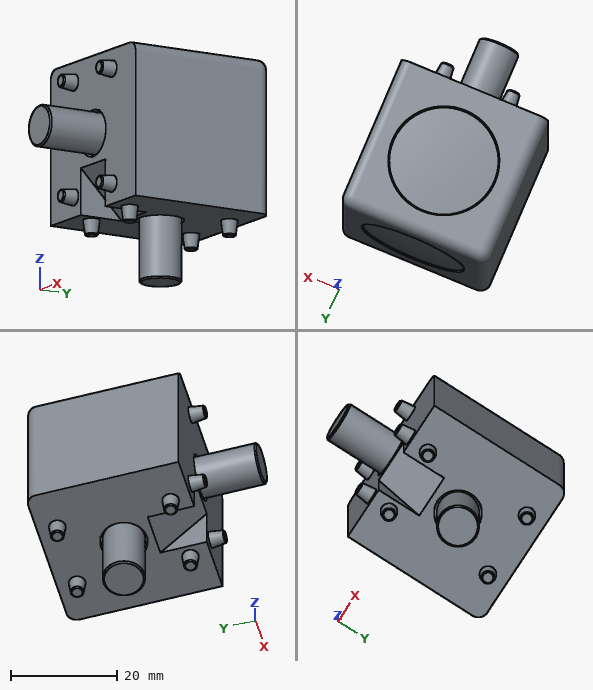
import cadquery as cq


cube_size = 30.0
half_cube = cube_size / 2
edge_radius = 2.0
notch_leg = 9.1
notch_width = 8.6

pin_spacing_across = 13.5
pin_spacing_along = 22.2
pin_base_radius = 1.6
pin_tip_radius = 1.25
pin_length = 3.0
pin_tip_chamfer = 0.25

shaft_radius = 4.0
shaft_reach = 12.0
shaft_tip_chamfer = 0.3
shoulder_radius = 4.5
shoulder_chamfer = shoulder_radius - shaft_radius
shoulder_recess = 1.0
shaft_bore_depth = 10.0

cap_radius = 10.25
cap_seat_depth = 2.0
cap_hole_chamfer = 0.25
dome_rim_depth = cap_hole_chamfer
dome_crown = 0.25

shaft_faces = [
    cq.Plane(origin=(0, -half_cube, 0), xDir=(1, 0, 0), normal=(0, -1, 0)),
    cq.Plane(origin=(0, 0, -half_cube), xDir=(1, 0, 0), normal=(0, 0, -1)),
]
cap_faces = [
    cq.Plane(origin=(0, half_cube, 0), xDir=(1, 0, 0), normal=(0, 1, 0)),
    cq.Plane(origin=(0, 0, half_cube), xDir=(1, 0, 0), normal=(0, 0, 1)),
]


def revolve_about_axis(profile):
    """Turn a half profile (x = radius, y = height) into a solid about the Z axis."""
    turned = profile.close().revolve(360, (0, 0, 0), (0, 1, 0))
    return turned.val()


def place_on(solid, face):
    """Move a solid built about the Z axis so that its Z runs out of the given face."""
    return solid.moved(cq.Location(face))


def make_pin():
    """Tapered locating pin with a chamfered tip, standing on height 0."""
    profile = (
        cq.Workplane("XZ")
        .lineTo(pin_base_radius, 0)
        .lineTo(pin_tip_radius, pin_length - pin_tip_chamfer)
        .lineTo(pin_tip_radius - pin_tip_chamfer, pin_length)
        .lineTo(0, pin_length)
    )
    return revolve_about_axis(profile)


def make_shaft():
    """Shaft whose chamfered shoulder ends just below the housing face at height 0."""
    profile = (
        cq.Workplane("XZ")
        .moveTo(0, -shaft_bore_depth)
        .lineTo(shoulder_radius, -shaft_bore_depth)
        .lineTo(shoulder_radius, -shoulder_recess - shoulder_chamfer)
        .lineTo(shaft_radius, -shoulder_recess)
        .lineTo(shaft_radius, shaft_reach - shaft_tip_chamfer)
        .lineTo(shaft_radius - shaft_tip_chamfer, shaft_reach)
        .lineTo(0, shaft_reach)
    )
    return revolve_about_axis(profile)


def make_cap():
    """Disc with a shallow spherical dome, its rim just below the face at height 0."""
    dome_rise = dome_crown + dome_rim_depth
    dome_radius = (cap_radius**2 + dome_rise**2) / (2 * dome_rise)
    dome_centre = cq.Vector(0, 0, dome_crown - dome_radius)
    disc_base = cq.Vector(0, 0, -cap_seat_depth)
    disc = cq.Solid.makeCylinder(cap_radius, cap_seat_depth + dome_crown, disc_base)
    pole_axis = cq.Vector(-1, 0, 0)
    ball = cq.Solid.makeSphere(dome_radius, dome_centre, pole_axis, angleDegrees1=-90, angleDegrees2=90)
    return disc.intersect(ball).Solids()[0]


def make_rounded_cube():
    """Cube with rounded edges round the top and up the back."""
    cube = cq.Workplane("XY").box(cube_size, cube_size, cube_size)
    top_edges = cube.edges(">Z").edges("not(<Y)")
    back_edges = cube.edges("|Z and >Y")
    return cube.newObject(top_edges.vals() + back_edges.vals()).fillet(edge_radius)


def make_edge_notch():
    """Triangular prism that bevels the middle of the edge between the shaft faces."""
    return (
        cq.Workplane("YZ")
        .moveTo(-half_cube, -half_cube)
        .lineTo(-half_cube + notch_leg, -half_cube)
        .lineTo(-half_cube, -half_cube + notch_leg)
        .close()
        .extrude(notch_width / 2, both=True)
    )


def make_housing():
    """Rounded cube with notch, pins, shaft bores and chamfered cap seats."""
    body = make_rounded_cube().cut(make_edge_notch())
    for face in shaft_faces:
        for across in (-pin_spacing_across / 2, pin_spacing_across / 2):
            for along in (-pin_spacing_along / 2, pin_spacing_along / 2):
                pin = make_pin().moved(cq.Location((across, along, 0)))
                body = body.union(place_on(pin, face))
        bore = cq.Workplane(face).circle(shoulder_radius).extrude(-shaft_bore_depth)
        body = body.cut(bore)
    for face in cap_faces:
        seat = cq.Workplane(face).circle(cap_radius).extrude(-cap_seat_depth)
        mouth = (
            cq.Workplane(face)
            .circle(cap_radius + cap_hole_chamfer)
            .workplane(offset=-cap_hole_chamfer)
            .circle(cap_radius)
            .loft()
        )
        body = body.cut(seat).cut(mouth)
    return body


housing = make_housing()
shafts = [place_on(make_shaft(), face) for face in shaft_faces]
caps = [place_on(make_cap(), face) for face in cap_faces]

result = cq.Compound.makeCompound([housing.val(), *shafts, *caps])